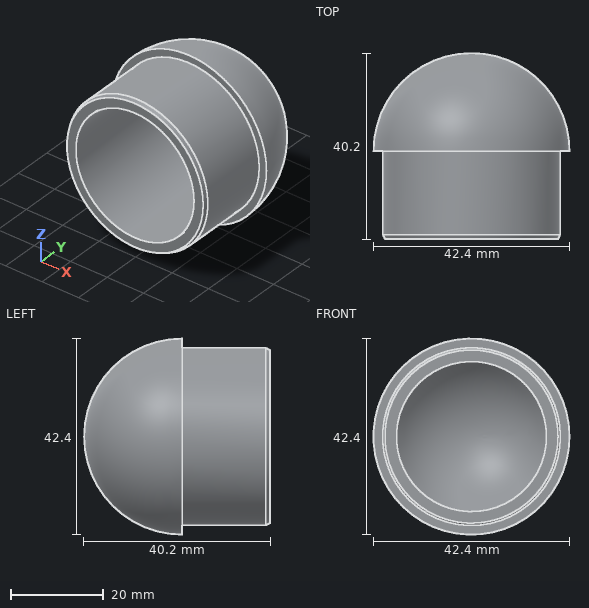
import cadquery as cq
import math

dome_diameter = 42.4
dome_wall = 2.0
seat_width = 2.0
plug_wall = 3.0
plug_length = 19.0
lead_in_length = 1.0
lead_in_depth = 0.5

dome_radius = dome_diameter / 2
cavity_radius = dome_radius - dome_wall
plug_radius = dome_radius - seat_width
bore_radius = plug_radius - plug_wall
plug_end = -plug_length

bore_end_angle = math.asin(bore_radius / cavity_radius)


def point_on_circle(radius, angle):
    """Point on a circle about the origin, at an angle in radians from the Y axis."""
    return (radius * math.sin(angle), radius * math.cos(angle))


def make_half_section():
    """Closed half section of the cap in the XY plane, on the +X side of the axis."""
    outside = (
        cq.Workplane("XY")
        .moveTo(bore_radius, plug_end)
        .lineTo(plug_radius - lead_in_depth, plug_end)
        .lineTo(plug_radius, plug_end + lead_in_length)
        .lineTo(plug_radius, 0)
        .lineTo(dome_radius, 0)
        .threePointArc(point_on_circle(dome_radius, math.pi / 4), (0, dome_radius))
    )
    return (
        outside.lineTo(0, cavity_radius)
        .threePointArc(
            point_on_circle(cavity_radius, bore_end_angle / 2),
            point_on_circle(cavity_radius, bore_end_angle),
        )
        .close()
    )


result = make_half_section().revolve(360, (0, 0, 0), (0, 1, 0))